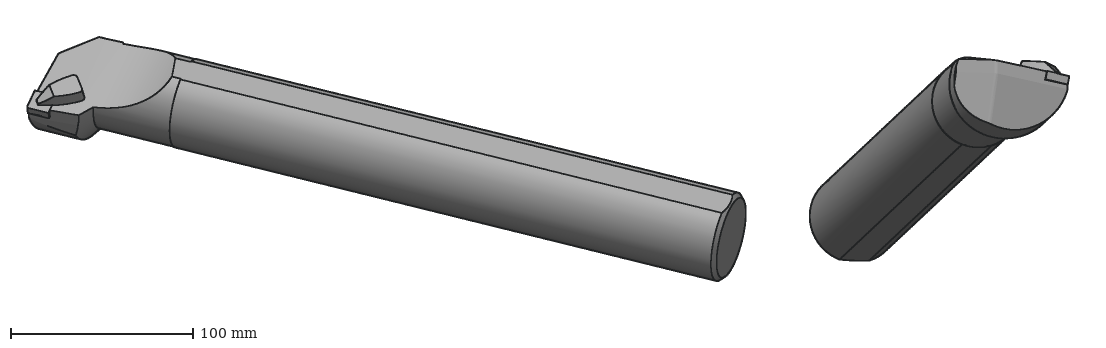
import cadquery as cq
import math

LENGTH = 400.0
OVERALL_WIDTH = 60.0
SHANK_DIAMETER = 50.0
FLAT_TO_FLAT = 47.0
END_CHAMFER = 2.5

NECK_DIAMETER = 49.5
NECK_END = 80.0

HEAD_RADIUS = 30.0
HEAD_CENTER_Y = SHANK_DIAMETER / 2 - HEAD_RADIUS
HEAD_CENTER_Z = 0.5
SHOULDER_END = 35.0
SHOULDER_ANGLE = 50.0
HEAD_CORNER_DIAMETER = 6.5
HEAD_OUTLINE = [(0.8, -34.0), (3.0, 5.5), (21.5, 24.0), (21.5, 32.0), (SHOULDER_END, 32.0), (SHOULDER_END, -31.0)]

BAND_DEPTH = 7.0
RELIEF_X = 0.15
RELIEF_Y = 0.11

TIP_Y = SHANK_DIAMETER / 2 - OVERALL_WIDTH
TIP_Z = HEAD_CENTER_Z
TOP_ANGLE = 11.0
SCOOP_START = 24.8
SCOOP_RADIUS = 80.0

INSERT_SIDE = 12.8
INSERT_THICKNESS = 4.8
INSERT_CORNER_RADIUS = 0.8

CLAMP_TIP_X = 4.5
CLAMP_TIP_Y = 4.8
CLAMP_ANGLE = 38.0
CLAMP_LENGTH = 25.5
CLAMP_WIDTH = 14.5
CLAMP_TIP_WIDTH = 3.0
CLAMP_BELLY = 0.85
CLAMP_HEIGHT = 6.8
CLAMP_TAPER = 6.0
CLAMP_CORNER_DIAMETER = 4.5
NOSE_HEIGHT = 0.8
NOSE_LENGTH = 8.8

MARGIN = 20.0

top_tilt = math.radians(TOP_ANGLE)
top_normal = (0, -math.sin(top_tilt), math.cos(top_tilt))
top_face = cq.Plane(origin=(0, TIP_Y, TIP_Z), xDir=(1, 0, 0), normal=top_normal)


def make_shank():
    start = cq.Workplane("YZ").workplane(offset=NECK_END)
    blank = start.circle(SHANK_DIAMETER / 2).extrude(LENGTH - NECK_END)
    return blank.faces(">X").chamfer(END_CHAMFER)


def make_neck():
    start = cq.Workplane("YZ").workplane(offset=SHOULDER_END)
    return start.circle(NECK_DIAMETER / 2).extrude(NECK_END - SHOULDER_END)


def below_top_face(depth):
    """Block that fills the space below the top face lowered by depth."""
    size = 2 * LENGTH
    return cq.Workplane(top_face).workplane(offset=-depth).rect(size, size).extrude(-size)


def make_head_outline():
    """Head outline, upright in a band along the top face and sheared below it."""
    height = 4 * HEAD_RADIUS
    walls = cq.Workplane("XY").workplane(offset=-height / 2).polyline(HEAD_OUTLINE).close().extrude(height)
    corner_x, corner_y = HEAD_OUTLINE[1]
    walls = walls.edges(cq.NearestToPointSelector((corner_x, corner_y, 0))).fillet(HEAD_CORNER_DIAMETER / 2)
    band = walls.cut(below_top_face(BAND_DEPTH))
    band_floor = band.faces(cq.DirectionMinMaxSelector(top_face.zDir, False)).val()
    shear = cq.Vector(RELIEF_X, RELIEF_Y, -1) * height
    return band.union(cq.Workplane(cq.Solid.extrudeLinear(band_floor, shear)))


def make_head():
    """Eccentric cylinder, trimmed to the head outline and by a cone that narrows to the neck."""
    center = cq.Workplane("YZ").center(HEAD_CENTER_Y, HEAD_CENTER_Z)
    cylinder = center.circle(HEAD_RADIUS).extrude(SHOULDER_END)
    neck_radius = NECK_DIAMETER / 2
    wide_radius = neck_radius + SHOULDER_END * math.tan(math.radians(SHOULDER_ANGLE))
    profile = (
        cq.Workplane("XY")
        .lineTo(SHOULDER_END, 0)
        .lineTo(SHOULDER_END, neck_radius)
        .lineTo(0, wide_radius)
        .close()
    )
    shoulder = profile.revolve(360, (0, 0, 0), (1, 0, 0))
    return cylinder.intersect(shoulder).intersect(make_head_outline())


def make_scoop():
    """Space above the top face, with a round run-out tangent to it."""
    side = cq.Workplane(cq.Plane(top_face.origin, top_face.xDir, top_face.yDir * -1))
    eighth_turn = math.pi / 4
    arc_middle_x = SCOOP_START + SCOOP_RADIUS * math.sin(eighth_turn)
    arc_middle_z = SCOOP_RADIUS * (1 - math.cos(eighth_turn))
    profile = (
        side.moveTo(-MARGIN, 0)
        .lineTo(SCOOP_START, 0)
        .threePointArc((arc_middle_x, arc_middle_z), (SCOOP_START + SCOOP_RADIUS, SCOOP_RADIUS))
        .lineTo(-MARGIN, SCOOP_RADIUS)
        .close()
    )
    return profile.extrude(SCOOP_RADIUS, both=True)


def make_insert():
    blank = cq.Workplane(top_face).rect(INSERT_SIDE, INSERT_SIDE, centered=False).extrude(-INSERT_THICKNESS)
    tip = blank.edges(cq.NearestToPointSelector((0, TIP_Y, TIP_Z - INSERT_THICKNESS / 2)))
    return tip.fillet(INSERT_CORNER_RADIUS)


def make_clamp():
    """Tapered tongue that rises from the top face and slopes down at its nose."""
    origin = top_face.toWorldCoords((CLAMP_TIP_X, CLAMP_TIP_Y, 0))
    turn = math.radians(CLAMP_ANGLE)
    along = top_face.xDir * math.cos(turn) + top_face.yDir * math.sin(turn)
    frame = cq.Plane(origin, along, top_face.zDir)
    half_tip = CLAMP_TIP_WIDTH / 2
    half_width = CLAMP_WIDTH / 2
    belly_x = CLAMP_LENGTH / 2
    belly_y = half_width * CLAMP_BELLY
    base = (
        cq.Workplane(frame)
        .moveTo(0, half_tip)
        .threePointArc((belly_x, belly_y), (CLAMP_LENGTH, half_width))
        .lineTo(CLAMP_LENGTH, -half_width)
        .threePointArc((belly_x, -belly_y), (0, -half_tip))
        .close()
    )
    body = base.extrude(CLAMP_HEIGHT, taper=CLAMP_TAPER)
    for corner_y in (half_width, -half_width):
        corner = frame.toWorldCoords((CLAMP_LENGTH, corner_y, CLAMP_HEIGHT / 2))
        body = body.edges(cq.NearestToPointSelector(corner.toTuple())).fillet(CLAMP_CORNER_DIAMETER / 2)
    side = cq.Plane(origin, along, along.cross(top_face.zDir))
    nose = (
        cq.Workplane(side)
        .polyline([(0, NOSE_HEIGHT), (NOSE_LENGTH, CLAMP_HEIGHT), (0, CLAMP_HEIGHT)])
        .close()
        .extrude(CLAMP_WIDTH, both=True)
    )
    return body.cut(nose)


def make_flat_cuts():
    """Space above the top flat, along the bar, and below the bottom flat, along the shank."""
    half = FLAT_TO_FLAT / 2
    block = cq.Workplane("XY").box(LENGTH, 2 * SHANK_DIAMETER, MARGIN, centered=(False, True, False))
    return block.translate((0, 0, half)).union(block.translate((NECK_END, 0, -half - MARGIN)))


insert = make_insert()
bar = make_shank().union(make_neck()).union(make_head())
holder = bar.cut(make_flat_cuts()).cut(make_scoop()).union(make_clamp()).cut(insert)

result = cq.Compound.makeCompound([holder.solids().val(), insert.solids().val()])